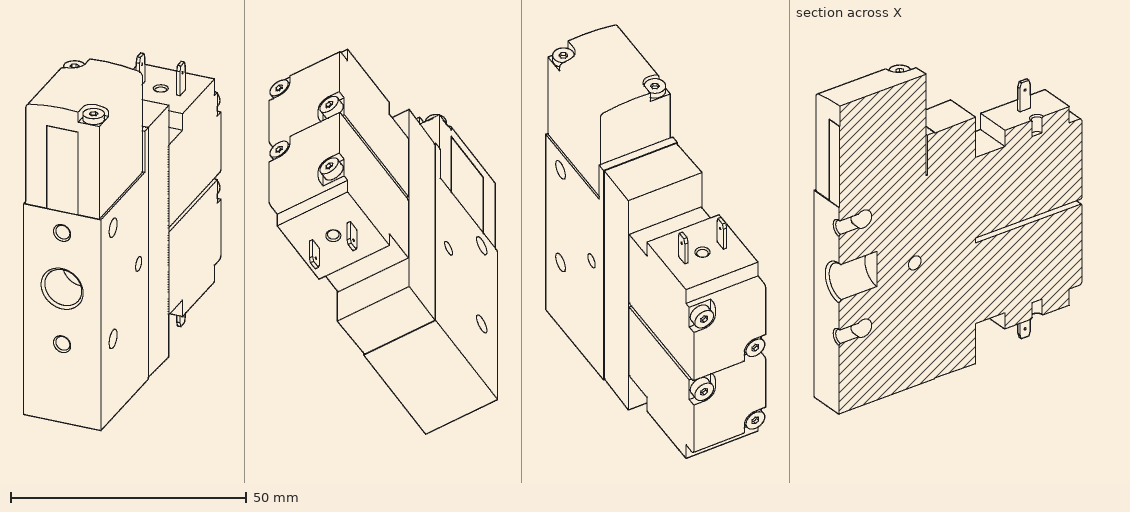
import cadquery as cq
import math

body_width = 18.0
body_depth = 25.2
body_height = 51.0
collar_height = 60.9
collar_front = 23.25

block_back = 36.0
block_taper = 0.2

mount_hole_dia = 4.2
mount_hole_y = 6.5
mount_hole_heights = (19.0, 45.9)
pin_hole_dia = 3.2
pin_hole_y = 20.0
pin_hole_z = 30.45
thread_hole_dia = 3.24
thread_hole_chamfer = 0.38
port_dia = 8.57
port_chamfer = 0.6
port_z = 32.4
port_depth = 10.0

cover_width = 17.1
cover_front = 0.2
cover_back = 23.0
cover_top = 76.0
dome_radius = 42.0
dome_edge_radius = 1.1
label_top = 71.0
label_thickness = 0.1
front_label_width = 7.3
side_label_front = 5.2
side_label_back = 18.3

screw_head_dia = 4.6
cover_screw_clearance = 0.2
solenoid_screw_clearance = 0.4
socket_across_flats = 1.6
socket_depth = 0.8
cover_screw_x = 6.15
cover_screw_inset = 2.45
cover_recess_floor = 73.4
cover_screw_head_height = 1.4

solenoid_width = 17.6
solenoid_height = 20.0
solenoid_top = body_height
solenoid_bottom = solenoid_top - solenoid_height
solenoid_back = 64.1
outer_edge_radius = 0.95
inner_edge_radius = 0.6
terminal_front = 43.7
terminal_back = 60.7
terminal_top = 55.0
terminal_y = (terminal_front + terminal_back) / 2
terminal_hole_dia = 2.46
terminal_hole_rim_dia = 3.2
terminal_hole_depth = 4.0
solenoid_screw_x = 6.25
solenoid_screw_inset = 3.0
solenoid_recess_depth = 2.0

tab_spacing = 9.4
tab_thickness = 0.8
tab_width = 2.8
tab_top = 62.0
tab_tip_length = 1.2
tab_tip_inset = 0.4
tab_hole_dia = 0.5
tab_hole_z = 59.9


def box(x_range, y_range, z_range):
    """Box spanning the given (low, high) limits."""
    lows, highs = zip(x_range, y_range, z_range)
    sizes = [high - low for low, high in zip(lows, highs)]
    return cq.Workplane("XY").box(*sizes, centered=False).translate(lows)


def centred(width):
    return (-width / 2, width / 2)


def cylinder(base, direction, diameter, length):
    solid = cq.Solid.makeCylinder(diameter / 2, length, cq.Vector(*base), cq.Vector(*direction))
    return cq.Workplane(solid)


def countersink(base, direction, rim_dia, hole_dia):
    """45 degree cone that opens a hole out to rim_dia at its mouth."""
    depth = (rim_dia - hole_dia) / 2
    cone = cq.Solid.makeCone(rim_dia / 2, hole_dia / 2, depth, cq.Vector(*base), cq.Vector(*direction))
    return cq.Workplane(cone)


def front_hole(z, diameter, chamfer, depth):
    mouth = (0, 0, z)
    hole = cylinder(mouth, (0, 1, 0), diameter, depth)
    return hole.union(countersink(mouth, (0, 1, 0), diameter + 2 * chamfer, diameter))


def cross_hole(y, z, diameter):
    return cylinder((-body_width / 2, y, z), (1, 0, 0), diameter, body_width)


def make_body():
    body = box(centred(body_width), (0, body_depth), (0, body_height))
    collar = box(centred(body_width), (collar_front, body_depth), (0, collar_height))
    body = body.union(collar)
    for z in mount_hole_heights:
        body = body.cut(cross_hole(mount_hole_y, z, mount_hole_dia))
        body = body.cut(front_hole(z, thread_hole_dia, thread_hole_chamfer, mount_hole_y))
    body = body.cut(cross_hole(pin_hole_y, pin_hole_z, pin_hole_dia))
    return body.cut(front_hole(port_z, port_dia, port_chamfer, port_depth))


def make_block():
    """Block with a full-size back face, drawn in slightly on all sides toward the body."""
    length = block_back - body_depth
    return (
        cq.Workplane("XZ", origin=(0, block_back, collar_height / 2))
        .rect(body_width, collar_height)
        .extrude(length, taper=math.degrees(math.atan(block_taper / length)))
    )


def make_screw(head_height):
    """Cap screw head standing on z = 0 with a hexagon socket in its top."""
    head = cylinder((0, 0, 0), (0, 0, 1), screw_head_dia, head_height)
    corner_dia = socket_across_flats / math.cos(math.pi / 6)
    socket = (
        cq.Workplane("XY", origin=(0, 0, head_height - socket_depth))
        .polygon(6, corner_dia)
        .extrude(socket_depth)
        .rotate((0, 0, 0), (0, 0, 1), 90)
    )
    return head.cut(socket)


def make_corner_recess(x_reach, y_reach, clearance, depth):
    """Recess round a screw at the origin, open to the (-X, +Y) corner of the part."""
    radius = screw_head_dia / 2 + clearance
    return (
        cq.Workplane("XY")
        .moveTo(-x_reach, -radius)
        .lineTo(0, -radius)
        .radiusArc((radius, 0), -radius)
        .lineTo(radius, y_reach)
        .lineTo(-x_reach, y_reach)
        .close()
        .extrude(depth)
    )


def make_cover():
    half_width = cover_width / 2
    edge_z = cover_top - dome_radius + math.sqrt(dome_radius**2 - half_width**2)
    depth = cover_back - cover_front
    cover = (
        cq.Workplane("XZ", origin=(0, cover_back, 0))
        .moveTo(-half_width, body_height)
        .lineTo(-half_width, edge_z)
        .threePointArc((0, cover_top), (half_width, edge_z))
        .lineTo(half_width, body_height)
        .close()
        .extrude(depth)
    )
    dome_edges = cq.selectors.BoxSelector(
        (-body_width, cover_front, edge_z - dome_edge_radius),
        (body_width, cover_back, edge_z + dome_edge_radius),
    )
    cover = cover.edges("|Y").edges(dome_edges).fillet(dome_edge_radius)

    front_label = box(
        centred(front_label_width), (cover_front - label_thickness, cover_front), (body_height, label_top)
    )
    side_label = box(
        (-half_width - label_thickness, -half_width),
        (side_label_front, side_label_back),
        (body_height, label_top),
    )
    cover = cover.union(front_label).union(side_label)

    screw_y = cover_back - cover_screw_inset
    centre_y = (cover_front + cover_back) / 2
    position = (-cover_screw_x, screw_y, cover_recess_floor)
    recess = make_corner_recess(
        half_width - cover_screw_x,
        cover_screw_inset,
        cover_screw_clearance,
        cover_top - cover_recess_floor,
    ).translate(position)
    screw = make_screw(cover_screw_head_height).translate(position)
    for angle in (0, 180):
        axis = ((0, centre_y, 0), (0, centre_y, 1), angle)
        cover = cover.cut(recess.rotate(*axis)).union(screw.rotate(*axis))
    return cover


def make_tab(x):
    """Flat contact tab with a narrowed tip and a small cross hole."""
    half_width = tab_width / 2
    tip_half_width = half_width - tab_tip_inset
    shoulder_z = tab_top - tab_tip_length
    tab = (
        cq.Workplane("YZ", origin=(x - tab_thickness / 2, terminal_y, 0))
        .moveTo(-half_width, terminal_top)
        .lineTo(-half_width, shoulder_z)
        .lineTo(-tip_half_width, tab_top)
        .lineTo(tip_half_width, tab_top)
        .lineTo(half_width, shoulder_z)
        .lineTo(half_width, terminal_top)
        .close()
        .extrude(tab_thickness)
    )
    hole = cylinder((x - tab_thickness / 2, terminal_y, tab_hole_z), (1, 0, 0), tab_hole_dia, tab_thickness)
    return tab.cut(hole)


def make_solenoid():
    """Upper solenoid with its terminal block, tabs and end screws."""
    solenoid = box(
        centred(solenoid_width), (block_back, solenoid_back), (solenoid_bottom, solenoid_top)
    )
    solenoid = solenoid.edges(">Y and >Z").fillet(outer_edge_radius)
    solenoid = solenoid.edges(">Y and <Z").fillet(inner_edge_radius)
    terminal = box(
        centred(solenoid_width), (terminal_front, terminal_back), (solenoid_top, terminal_top)
    )
    solenoid = solenoid.union(terminal)

    mouth = (0, terminal_y, terminal_top)
    solenoid = solenoid.cut(cylinder(mouth, (0, 0, -1), terminal_hole_dia, terminal_hole_depth))
    solenoid = solenoid.cut(countersink(mouth, (0, 0, -1), terminal_hole_rim_dia, terminal_hole_dia))
    for x in centred(tab_spacing):
        solenoid = solenoid.union(make_tab(x))

    position = (
        -solenoid_screw_x,
        solenoid_back - solenoid_recess_depth,
        solenoid_bottom + solenoid_screw_inset,
    )
    upright = ((0, 0, 0), (1, 0, 0), -90)
    recess = make_corner_recess(
        solenoid_width / 2 - solenoid_screw_x,
        solenoid_screw_inset,
        solenoid_screw_clearance,
        solenoid_recess_depth,
    )
    recess = recess.rotate(*upright).translate(position)
    screw = make_screw(solenoid_recess_depth).rotate(*upright).translate(position)
    centre_z = (solenoid_bottom + solenoid_top) / 2
    for angle in (0, 180):
        axis = ((0, 0, centre_z), (0, 1, centre_z), angle)
        solenoid = solenoid.cut(recess.rotate(*axis)).union(screw.rotate(*axis))
    return solenoid


upper_solenoid = make_solenoid()
block_centre_z = collar_height / 2
lower_solenoid = upper_solenoid.rotate((0, 0, block_centre_z), (0, 1, block_centre_z), 180)

result = make_body().union(make_block()).union(make_cover())
result = result.union(upper_solenoid).union(lower_solenoid)